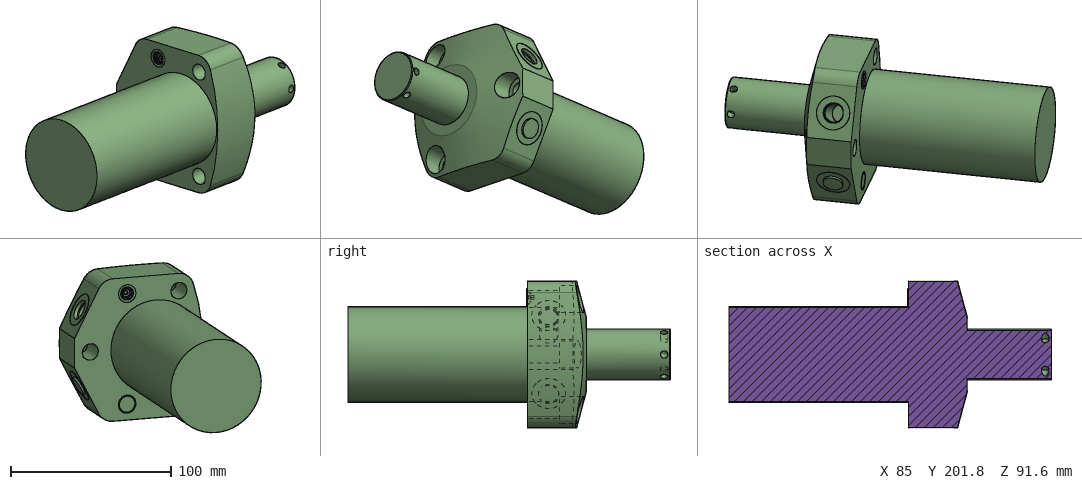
import cadquery as cq
import math

Y_AXIS = cq.Vector(0, 1, 0)
SIDES = (1, -1)

overall_length = 201.8
barrel_diameter = 60.0
rod_diameter = 32.0
rod_length = 52.7
rod_end_chamfer = 0.6

flange_thickness = 37.0
flange_height = 91.6
flange_width = 85.0
flange_left = -54.0
flange_right = flange_left + flange_width
left_flat_height = 19.0
slant_angle = 62.3
right_arc_radius = 123.0
corner_radius = 10.5
cone_flat_diameter = 46.5
cone_slope = math.tan(math.radians(15.0))

rod_hole_count = 6
first_rod_hole_angle = 30.0
rod_hole_diameter = 4.6
rod_hole_depth = 6.0
rod_hole_setback = 4.0
drill_point_angle = 118.0

mount_hole_diameter = 10.5
counterbore_diameter = 17.0
counterbore_floor = 20.2
left_hole_x = -43.5
right_hole_x = 15.1
right_hole_z = 34.7

port_y = 13.3
port_z = 24.5
spotface_diameter = 21.2
spotface_depth = 0.2
port_mouth_diameter = 12.7
port_mouth_depth = 2.5
port_bore_diameter = 11.5
port_depth = 26.2
port_plug_height = 1.2

back_port_x = -19.2
back_port_z = 35.5
back_port_diameter = 11.5
seal_thickness = 1.6
seal_height = 0.6
screw_step_diameters = (8.3, 6.7, 5.0)
screw_step_depth = 0.8
socket_width = 2.8
socket_depth = 4.0
plug_groove_width = 0.6
plug_groove_depth = 0.2


def cylinder(start, direction, diameter, length):
    return cq.Workplane(cq.Solid.makeCylinder(diameter / 2, length, start, direction))


def cone(start, direction, start_diameter, end_diameter, length):
    return cq.Workplane(
        cq.Solid.makeCone(start_diameter / 2, end_diameter / 2, length, start, direction)
    )


def make_flange():
    top = flange_height / 2
    flat_end = left_flat_height / 2
    top_left = flange_left + (top - flat_end) / math.tan(math.radians(slant_angle))
    top_right = flange_right - right_arc_radius + math.sqrt(right_arc_radius**2 - top**2)
    flange = (
        cq.Workplane("XZ")
        .moveTo(flange_left, -flat_end)
        .lineTo(flange_left, flat_end)
        .lineTo(top_left, top)
        .lineTo(top_right, top)
        .threePointArc((flange_right, 0), (top_right, -top))
        .lineTo(top_left, -top)
        .close()
        .extrude(-flange_thickness)
    )
    return flange.edges("|Y and (>Z or <Z)").fillet(corner_radius).intersect(make_cone_envelope())


def make_cone_envelope():
    """Solid of revolution whose rod-side face is flat, then falls away as a cone."""
    flat_radius = cone_flat_diameter / 2
    outer_radius = flange_width
    edge_y = flange_thickness - (outer_radius - flat_radius) * cone_slope
    return (
        cq.Workplane("XY")
        .polyline(
            [
                (0, 0),
                (outer_radius, 0),
                (outer_radius, edge_y),
                (flat_radius, flange_thickness),
                (0, flange_thickness),
            ]
        )
        .close()
        .revolve(360, (0, 0, 0), (0, 1, 0))
    )


def make_barrel():
    length = overall_length - flange_thickness - rod_length
    return cylinder(cq.Vector(), -Y_AXIS, barrel_diameter, length)


def make_rod():
    rod = cylinder(Y_AXIS * flange_thickness, Y_AXIS, rod_diameter, rod_length)
    rod = rod.faces(">Y").chamfer(rod_end_chamfer)
    hole_y = flange_thickness + rod_length - rod_hole_setback
    point_length = rod_hole_diameter / 2 / math.tan(math.radians(drill_point_angle / 2))
    for i in range(rod_hole_count):
        angle = math.radians(first_rod_hole_angle + i * 360 / rod_hole_count)
        outward = cq.Vector(math.sin(angle), 0, math.cos(angle))
        mouth = Y_AXIS * hole_y + outward * (rod_diameter / 2)
        floor = mouth - outward * rod_hole_depth
        rod = rod.cut(cylinder(mouth, -outward, rod_hole_diameter, rod_hole_depth))
        rod = rod.cut(cone(floor, -outward, rod_hole_diameter, 0, point_length))
    return rod


def cut_mounting_holes(body):
    positions = [(left_hole_x, 0)] + [(right_hole_x, side * right_hole_z) for side in SIDES]
    for x, z in positions:
        back = cq.Vector(x, 0, z)
        seat = cq.Vector(x, counterbore_floor, z)
        body = body.cut(cylinder(back, Y_AXIS, mount_hole_diameter, flange_thickness))
        body = body.cut(cylinder(seat, Y_AXIS, counterbore_diameter, flange_thickness))
    return body


def add_side_ports(body):
    """Open threaded port on the upper slanted side, plugged port on the lower one."""
    angle = math.radians(slant_angle)
    port_x = flange_left + (port_z - left_flat_height / 2) / math.tan(angle)
    mouth_taper = (port_mouth_diameter - port_bore_diameter) / 2
    for side in SIDES:
        mouth = cq.Vector(port_x, port_y, side * port_z)
        outward = cq.Vector(-math.sin(angle), 0, side * math.cos(angle))
        floor = mouth - outward * spotface_depth
        body = body.cut(cylinder(mouth, -outward, spotface_diameter, spotface_depth))
        if side > 0:
            shoulder = floor - outward * port_mouth_depth
            body = body.cut(cylinder(floor, -outward, port_mouth_diameter, port_mouth_depth))
            body = body.cut(
                cone(shoulder, -outward, port_mouth_diameter, port_bore_diameter, mouth_taper)
            )
            body = body.cut(cylinder(floor, -outward, port_bore_diameter, port_depth))
        else:
            plug_length = spotface_depth + port_plug_height
            body = body.union(cylinder(floor, outward, port_mouth_diameter, plug_length))
    return body


def add_back_seal(body):
    """Round seal standing proud of the upper back port, around a stepped recess with a hex socket."""
    centre = cq.Vector(back_port_x, 0, back_port_z)
    seal_radius = seal_thickness / 2
    ring_radius = back_port_diameter / 2 - seal_radius
    seal_centre = centre + Y_AXIS * (seal_radius - seal_height)
    body = body.union(cq.Workplane(cq.Solid.makeTorus(ring_radius, seal_radius, seal_centre, Y_AXIS)))
    for step, diameter in enumerate(screw_step_diameters, start=1):
        body = body.cut(cylinder(centre, Y_AXIS, diameter, step * screw_step_depth))
    socket = cq.Workplane("XZ", origin=centre.toTuple()).polygon(6, socket_width).extrude(-socket_depth)
    return body.cut(socket)


def cut_back_plug_groove(body):
    """Shallow ring around the flush plug that closes the lower back port."""
    centre = cq.Vector(back_port_x, 0, -back_port_z)
    plug_diameter = back_port_diameter - 2 * plug_groove_width
    groove = cylinder(centre, Y_AXIS, back_port_diameter, plug_groove_depth)
    return body.cut(groove.cut(cylinder(centre, Y_AXIS, plug_diameter, plug_groove_depth)))


flange = cut_mounting_holes(make_flange())
flange = add_side_ports(flange)
flange = add_back_seal(flange)
flange = cut_back_plug_groove(flange)
result = flange.union(make_barrel()).union(make_rod())